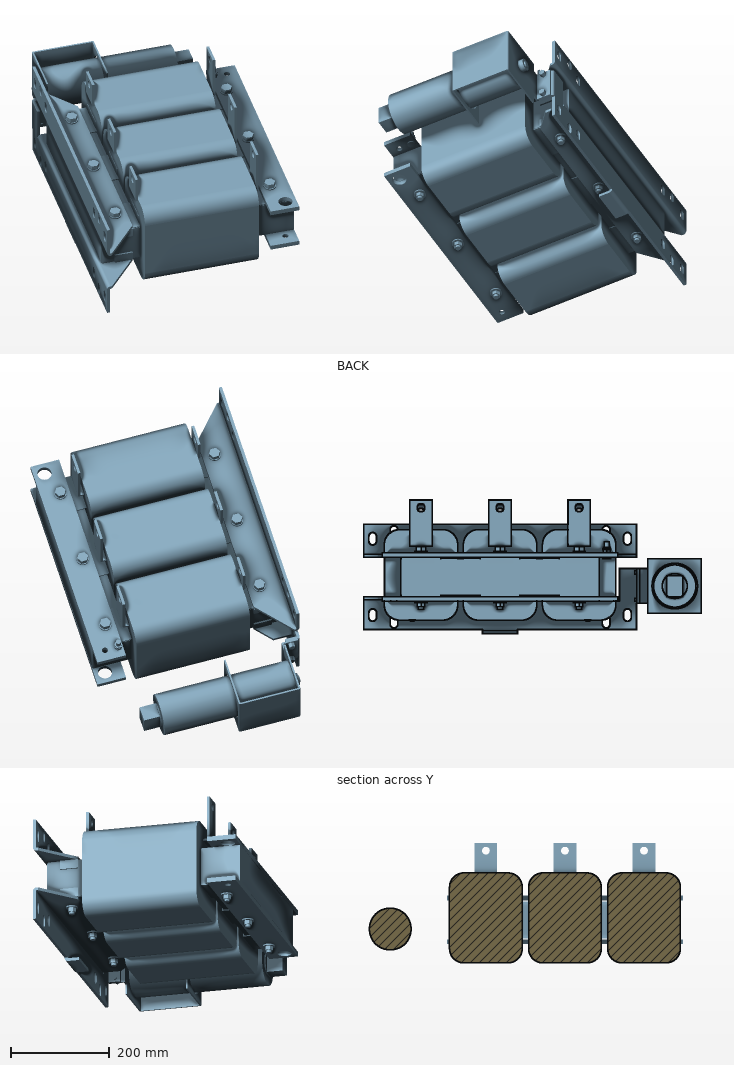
import cadquery as cq


overall_length = 685

limb_pitch = 160.0
limb_centres = [-limb_pitch, 0, limb_pitch]
limb_width = 81.0
yoke_overhang = 1.0
core_half_length = limb_pitch + limb_width / 2 + yoke_overhang
core_front, core_back = 9.0, 415.0
front_yoke_back, back_yoke_front = 90.5, 336.0
yoke_half_height = 38.0
limb_half_height = 40.0
corner_pad_thickness = 3.5
corner_pad_height = 18.5
corner_pad_front, corner_pad_back = 37.0, 75.0
limb_cover_setback = 2.0
coil_width = 148.5
coil_bottom, coil_top = -88.0, 96.0
coil_front, coil_back = 92.0, 332.0
coil_corner_radius = 30.0

terminal_width = 46.0
terminal_thickness = 5.5
terminal_hole_diameter = 16.0
front_terminal_bottom, front_terminal_top = 92.0, 147.0
front_terminal_hole_z = 131.0
back_terminal_bottom, back_terminal_top = 62.0, 156.0
back_terminal_hole_z = 140.5
back_terminal_front = 340.5
back_terminal_foot_front = 335.5
back_terminal_foot_thickness = 4.0
back_lead_thickness = 2.0
terminal_bend_radius = 4.0
lead_pad_width = 59.5
lead_pad_thickness = 1.0
lead_pad_top = 57.5

rail_half_length = 277.0
rail_sheet = 6.0
rail_leg_inner_z = limb_half_height
rail_outer_z = 107.0
rail_leg_depth = 75.0
rail_bend_radius = 7.5
rail_taper_start = 10.0
rail_leg_back_half_length = core_half_length
rail_slot_width = 15.0
rail_slot_height = 25.0
rail_slots = [(258.0, 77.5), (215.0, 91.0), (178.0, 77.5)]
lip_width = 71.0
lip_depth = 31.0
lip_bottom = -115.0

tab_bottom, tab_top = -53.5, 17.0
tab_end = -242.0
tab_relief_end = -238.0
tab_relief_bottom = -48.5
tab_flange_depth = 31.0
tab_flange_outer = -283.0
tab_bend_radius = 5.0

clamp_half_length = 239.0
clamp_front, clamp_back = 355.5, 416.0
clamp_thickness = 9.5
clamp_hole_x, clamp_hole_y = 216.0, 393.0
clamp_small_hole_diameter = 12.0
clamp_large_hole_diameter = 29.0

front_bolt_y, back_bolt_y = 50.0, 376.0
washer_diameter = 25.0
washer_thickness = 3.0
bolt_head_flats = 20.0
bolt_head_height = 9.5
nut_flats = 15.0
nut_height = 8.0
bolt_diameter = 11.0
bolt_end_length = 5.0

earth_x, earth_y = -216.5, 365.0
earth_washer_diameter = 16.5
earth_hex_flats = 14.5
earth_stack_height = 11.0
earth_end_diameter = 10.0
earth_end_height = 11.0

capacitor_x, capacitor_z = -354.0, -18.5
capacitor_diameter = 85.5
capacitor_back = 320.0
capacitor_collar_diameter = 51.0
capacitor_collar_thickness = 3.0
terminal_block_width, terminal_block_height = 32.0, 42.5
terminal_block_back = 356.0
capacitor_nut_diameter = 25.5
capacitor_nut_height = 11.0
capacitor_stud_diameter = 13.0
capacitor_stud_height = 3.0

bracket_sheet = 3.5
bracket_left, bracket_right = rail_half_length - overall_length, -299.5
bracket_bottom, bracket_top = -74.0, 37.0
bracket_front = 36.0
bracket_back = 166.5
bracket_clearance = 3.5
bracket_flange_front = 5.5
bracket_bolt_y = 20.5
bracket_bolt_zs = [-46.0, 9.0]
bracket_bolt_flats = 11.5
bracket_bolt_diameter = 6.0
bracket_bolt_head_height = 9.5
bracket_bolt_end = -273.0


def block(x0, x1, y0, y1, z0, z1):
    return cq.Workplane("XY").box(x1 - x0, y1 - y0, z1 - z0, centered=False).translate((x0, y0, z0))


def disc_z(x, y, z, diameter, height):
    return cq.Workplane("XY").center(x, y).circle(diameter / 2).extrude(height).translate((0, 0, z))


def hex_z(x, y, z, flats, height):
    hexagon = cq.Workplane("XY").center(x, y).polygon(6, flats, circumscribed=True)
    return hexagon.extrude(height).translate((0, 0, z))


def disc_y(x, z, y, diameter, depth):
    """Cylinder that starts at y and runs toward +Y."""
    return cq.Workplane("XZ", origin=(x, y, z)).circle(diameter / 2).extrude(-depth)


def core():
    """Front and back yokes joined by three limbs that stand slightly proud above and below."""
    body = cq.Workplane("XY")
    for front, back in ((core_front, front_yoke_back), (back_yoke_front, core_back)):
        body = body.union(block(
            -core_half_length, core_half_length, front, back, -yoke_half_height, yoke_half_height
        ))
    for x in limb_centres:
        body = body.union(block(
            x - limb_width / 2, x + limb_width / 2,
            core_front + limb_cover_setback, core_back, -limb_half_height, limb_half_height,
        ))
    return body


def corner_pads():
    """Insulation pads on both ends of the front yoke, along its upper and lower edges."""
    pads = cq.Workplane("XY")
    outer_x = core_half_length + corner_pad_thickness
    for x in (-outer_x, core_half_length):
        for z in (-limb_half_height, limb_half_height - corner_pad_height):
            pads = pads.union(block(
                x, x + corner_pad_thickness, corner_pad_front, corner_pad_back, z, z + corner_pad_height
            ))
    return pads


def coil(x):
    """Rounded winding around a limb, with a thin lead pad on its front face."""
    body = block(x - coil_width / 2, x + coil_width / 2, coil_front, coil_back, coil_bottom, coil_top)
    body = body.edges("|Y").fillet(coil_corner_radius)
    lead_pad = block(
        x - lead_pad_width / 2, x + lead_pad_width / 2,
        coil_front - lead_pad_thickness, coil_front, limb_half_height, lead_pad_top,
    )
    return body.union(lead_pad)


def terminals(x):
    """Front and back terminal bars, bent at the bottom toward the coil."""
    left, right = x - terminal_width / 2, x + terminal_width / 2
    front = block(
        left, right, coil_front - terminal_thickness, coil_front, front_terminal_bottom, front_terminal_top
    )
    front = front.edges("|X and <Y and <Z").fillet(terminal_bend_radius)
    back_outer = back_terminal_front + terminal_thickness
    back = block(
        left, right, back_terminal_front, back_outer, back_terminal_bottom, back_terminal_top
    )
    foot = block(
        left, right, back_terminal_foot_front, back_outer,
        back_terminal_bottom, back_terminal_bottom + back_terminal_foot_thickness,
    )
    lead = block(
        left, right, coil_back, back_terminal_foot_front,
        back_terminal_bottom, back_terminal_bottom + back_lead_thickness,
    )
    back = back.union(foot).edges("|X and >Y and <Z").fillet(terminal_bend_radius).union(lead)
    front_hole = disc_y(
        x, front_terminal_hole_z, coil_front - terminal_thickness, terminal_hole_diameter, terminal_thickness
    )
    back_hole = disc_y(
        x, back_terminal_hole_z, back_terminal_front, terminal_hole_diameter, terminal_thickness
    )
    return front.cut(front_hole).union(back.cut(back_hole))


def upper_rail():
    """Angle rail: upright front leg with slots and a tapered horizontal leg on the core."""
    rail = block(-rail_half_length, rail_half_length, 0, rail_leg_depth, rail_leg_inner_z, rail_outer_z)
    rail = rail.edges("|X and <Y and <Z").fillet(rail_bend_radius)
    inside = block(
        -rail_half_length, rail_half_length, rail_sheet, rail_leg_depth,
        rail_leg_inner_z + rail_sheet, rail_outer_z,
    )
    rail = rail.cut(inside)
    outline = (
        cq.Workplane("XY")
        .moveTo(-rail_half_length, 0)
        .lineTo(rail_half_length, 0)
        .lineTo(rail_half_length, rail_taper_start)
        .lineTo(rail_leg_back_half_length, rail_leg_depth)
        .lineTo(-rail_leg_back_half_length, rail_leg_depth)
        .lineTo(-rail_half_length, rail_taper_start)
        .close()
        .extrude(rail_outer_z)
    )
    slot_places = [(side * x, z) for side in (-1, 1) for x, z in rail_slots]
    slots = (
        cq.Workplane("XZ")
        .pushPoints(slot_places)
        .slot2D(rail_slot_height, rail_slot_width, 90)
        .extrude(-rail_sheet)
    )
    return rail.intersect(outline).cut(slots)


def lower_rail():
    """Mirror of the upper rail, with a lip below and a tab at the left for the bracket."""
    rail = upper_rail().mirror("XY")
    rail = rail.cut(block(
        -rail_half_length, tab_relief_end, rail_sheet, rail_leg_depth, -rail_outer_z, 0
    ))
    rail = rail.cut(block(-rail_half_length, tab_relief_end, 0, rail_leg_depth, tab_relief_bottom, 0))

    lip = block(-lip_width / 2, lip_width / 2, 0, lip_depth, lip_bottom, -rail_outer_z)
    lip = lip.edges("|X and <Y and <Z").fillet(rail_bend_radius)
    lip = lip.cut(block(
        -lip_width / 2, lip_width / 2, rail_sheet, lip_depth, lip_bottom + rail_sheet, -rail_outer_z
    ))

    tab = block(tab_flange_outer, tab_end, 0, tab_flange_depth, tab_bottom, tab_top)
    tab = tab.edges("|Z and <X and <Y").fillet(tab_bend_radius)
    tab = tab.cut(block(
        tab_flange_outer + rail_sheet, tab_end, rail_sheet, tab_flange_depth, tab_bottom, tab_top
    ))
    return rail.union(lip).union(tab)


def clamp_plate(z, large_hole_side):
    """Rear clamp plate with a small hole at one end and a large one at the other."""
    plate = block(
        -clamp_half_length, clamp_half_length, clamp_front, clamp_back, z, z + clamp_thickness
    )
    large = disc_z(
        large_hole_side * clamp_hole_x, clamp_hole_y, z, clamp_large_hole_diameter, clamp_thickness
    )
    small = disc_z(
        -large_hole_side * clamp_hole_x, clamp_hole_y, z, clamp_small_hole_diameter, clamp_thickness
    )
    return plate.cut(large).cut(small)


def clamp_bolt(x, y, sheet_thickness):
    """Bolt head and washer above the core clamp, washer, nut and bolt end below it."""
    seat = limb_half_height + sheet_thickness
    head_seat = seat + washer_thickness
    nut_end = head_seat + nut_height
    bolt = disc_z(x, y, -seat - washer_thickness, washer_diameter, washer_thickness)
    bolt = bolt.union(disc_z(x, y, seat, washer_diameter, washer_thickness))
    bolt = bolt.union(hex_z(x, y, head_seat, bolt_head_flats, bolt_head_height))
    bolt = bolt.union(hex_z(x, y, -nut_end, nut_flats, nut_height))
    shank_bottom = -nut_end - bolt_end_length
    return bolt.union(disc_z(x, y, shank_bottom, bolt_diameter, seat - shank_bottom))


def earth_bolt():
    """Hexagon stack with a washer at mid-height, a bolt end above and a washer below the plate."""
    plate_top = limb_half_height + clamp_thickness
    stack_top = plate_top + earth_stack_height
    bolt = hex_z(earth_x, earth_y, plate_top, earth_hex_flats, earth_stack_height)
    bolt = bolt.union(disc_z(
        earth_x, earth_y, plate_top + earth_stack_height / 2, earth_washer_diameter, washer_thickness
    ))
    bolt = bolt.union(disc_z(
        earth_x, earth_y, limb_half_height - washer_thickness, earth_washer_diameter, washer_thickness
    ))
    return bolt.union(disc_z(earth_x, earth_y, stack_top, earth_end_diameter, earth_end_height))


def capacitor():
    """Cylinder lying along Y, with a terminal block at the back and a fixing nut at the front."""
    seat = bracket_front + bracket_sheet
    collar_back = capacitor_back + capacitor_collar_thickness
    nut_front = bracket_front - capacitor_nut_height
    body = disc_y(capacitor_x, capacitor_z, seat, capacitor_diameter, capacitor_back - seat)
    body = body.union(disc_y(
        capacitor_x, capacitor_z, capacitor_back, capacitor_collar_diameter, capacitor_collar_thickness
    ))
    body = body.union(block(
        capacitor_x - terminal_block_width / 2, capacitor_x + terminal_block_width / 2,
        collar_back, terminal_block_back,
        capacitor_z - terminal_block_height / 2, capacitor_z + terminal_block_height / 2,
    ))
    body = body.union(disc_y(
        capacitor_x, capacitor_z, nut_front, capacitor_nut_diameter, capacitor_nut_height
    ))
    return body.union(disc_y(
        capacitor_x, capacitor_z, nut_front - capacitor_stud_height,
        capacitor_stud_diameter, capacitor_stud_height,
    ))


def capacitor_bracket():
    """U-shaped sheet around the capacitor, with a neck and flange bolted to the rail tab."""
    bracket = block(bracket_left, bracket_right, bracket_front, bracket_back, bracket_bottom, bracket_top)
    bracket = bracket.edges("|Z and <X").fillet(bracket_sheet)
    bracket = bracket.cut(block(
        bracket_left + bracket_sheet, bracket_right,
        bracket_front + bracket_sheet, bracket_back - bracket_sheet,
        bracket_bottom, bracket_top,
    ))
    bracket = bracket.cut(disc_y(
        capacitor_x, capacitor_z, bracket_back - bracket_sheet,
        capacitor_diameter + 2 * bracket_clearance, bracket_sheet,
    ))
    neck = block(
        bracket_right, tab_flange_outer, bracket_front, bracket_front + bracket_sheet, tab_bottom, tab_top
    )
    flange = block(
        tab_flange_outer - bracket_sheet, tab_flange_outer,
        bracket_flange_front, bracket_front + bracket_sheet, tab_bottom, tab_top,
    )
    return bracket.union(neck).union(flange)


def bracket_bolts():
    """Two bolts along X that join the bracket flange to the rail tab."""
    head_start = tab_flange_outer - bracket_sheet - bracket_bolt_head_height
    bolts = cq.Workplane("XY")
    for z in bracket_bolt_zs:
        plane = cq.Workplane("YZ", origin=(head_start, bracket_bolt_y, z))
        head = plane.polygon(6, bracket_bolt_flats, circumscribed=True).extrude(bracket_bolt_head_height)
        shank = plane.circle(bracket_bolt_diameter / 2).extrude(bracket_bolt_end - head_start)
        bolts = bolts.union(head).union(shank)
    return bolts


result = core().union(corner_pads())
for limb_x in limb_centres:
    result = result.union(coil(limb_x)).union(terminals(limb_x))
result = result.union(upper_rail()).union(lower_rail())
result = result.union(clamp_plate(limb_half_height, 1))
result = result.union(clamp_plate(-limb_half_height - clamp_thickness, -1))
for limb_x in limb_centres:
    result = result.union(clamp_bolt(limb_x, front_bolt_y, rail_sheet))
    result = result.union(clamp_bolt(limb_x, back_bolt_y, clamp_thickness))
result = result.union(earth_bolt())
result = result.union(capacitor_bracket()).union(capacitor()).union(bracket_bolts())